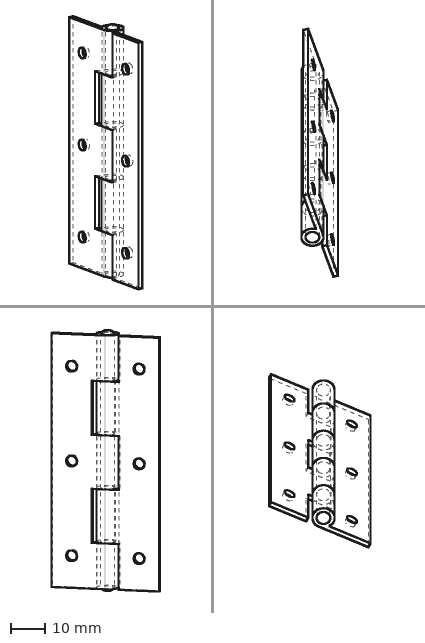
import cadquery as cq
import math

total_height = 77.2
hinge_width = 32.0
leaf_height = 75.0
leaf_thickness = 1.5

knuckle_diameter = 6.5
pin_diameter = 4.0
inner_knuckle_height = 16.0
notch_depth = 4.0

hole_diameter = 3.2
hole_offset = 10.0
hole_pitch = 28.0
holes_per_leaf = 3

knuckle_radius = knuckle_diameter / 2
pin_radius = pin_diameter / 2
leaf_back = -knuckle_radius
dome_height = (total_height - leaf_height) / 2

knuckle_levels = [
    -leaf_height / 2,
    -1.5 * inner_knuckle_height,
    -0.5 * inner_knuckle_height,
    0.5 * inner_knuckle_height,
    1.5 * inner_knuckle_height,
    leaf_height / 2,
]
knuckle_spans = list(zip(knuckle_levels[:-1], knuckle_levels[1:]))


def box_between(x_start, x_end, y_start, y_end, z_start, z_end):
    """Box given by its limits along each axis."""
    size = (x_end - x_start, y_end - y_start, z_end - z_start)
    return cq.Workplane("XY").box(*size, centered=False).translate((x_start, y_start, z_start))


def make_knuckle(side, bottom, top):
    """Barrel and the tongue of plate that joins it tangentially to its leaf."""
    height = top - bottom
    barrel = cq.Workplane("XY").workplane(offset=bottom).circle(knuckle_radius).extrude(height)
    x_limits = sorted([0, side * notch_depth])
    tongue = box_between(*x_limits, leaf_back, leaf_back + leaf_thickness, bottom, top)
    bore = cq.Workplane("XY").workplane(offset=bottom).circle(pin_radius).extrude(height)
    return barrel.union(tongue).cut(bore)


def make_screw_holes(side):
    """Cutters for the column of screw holes in one leaf."""
    return (
        cq.Workplane("XZ", origin=(side * hole_offset, 0, 0))
        .rarray(0.8, hole_pitch, 1, holes_per_leaf)
        .circle(hole_diameter / 2)
        .extrude(knuckle_diameter)
    )


def make_leaf(side, spans):
    """Flat plate on one side of the pin (-1 left, +1 right) with its knuckles."""
    x_limits = sorted([side * notch_depth, side * hinge_width / 2])
    leaf = box_between(
        *x_limits, leaf_back, leaf_back + leaf_thickness, -leaf_height / 2, leaf_height / 2
    )
    for bottom, top in spans:
        leaf = leaf.union(make_knuckle(side, bottom, top))
    return leaf.cut(make_screw_holes(side))


def make_pin():
    """Round pin with a spherical dome at each end, revolved from its half section."""
    dome_radius = (pin_radius**2 + dome_height**2) / (2 * dome_height)
    half_angle = math.asin(pin_radius / dome_radius) / 2
    arc_x = dome_radius * math.sin(half_angle)
    arc_z = total_height / 2 - dome_radius * (1 - math.cos(half_angle))
    return (
        cq.Workplane("XZ")
        .moveTo(0, -total_height / 2)
        .threePointArc((arc_x, -arc_z), (pin_radius, -leaf_height / 2))
        .lineTo(pin_radius, leaf_height / 2)
        .threePointArc((arc_x, arc_z), (0, total_height / 2))
        .close()
        .revolve(360, (0, 0, 0), (0, 1, 0))
    )


left_leaf = make_leaf(-1, knuckle_spans[0::2])
right_leaf = make_leaf(1, knuckle_spans[1::2])
pin = make_pin()

result = cq.Compound.makeCompound([left_leaf.val(), right_leaf.val(), pin.val()])